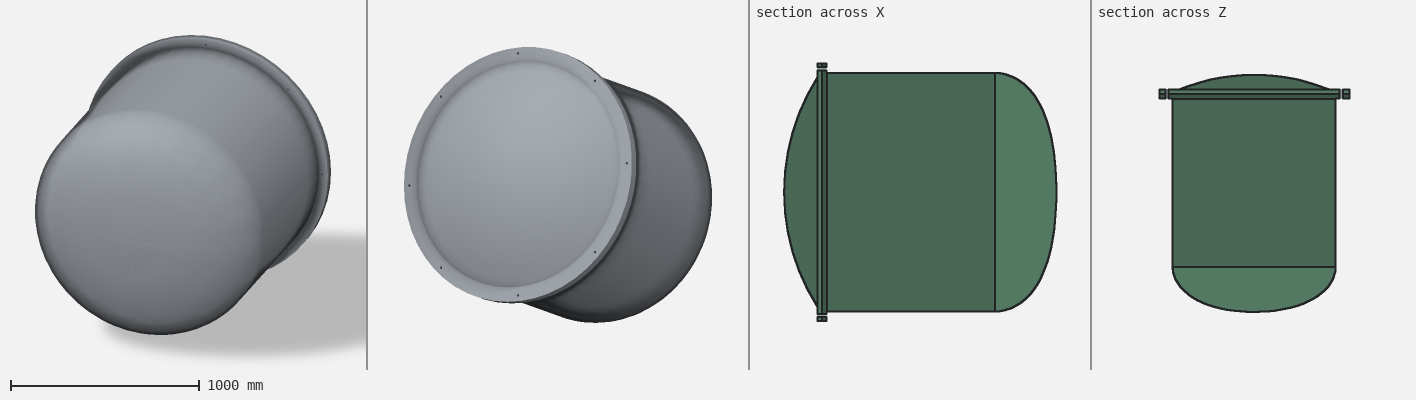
import cadquery as cq
import math


TOTAL_LENGTH = 1447.0
FLANGE_DIAMETER = 1372.0
SHELL_DIAMETER = 1271.0

FLANGE_PAIR_THICKNESS = 50.0
FLANGE_THICKNESS = FLANGE_PAIR_THICKNESS / 2
BOLT_COUNT = 8
BOLT_CIRCLE_DIAMETER = 1308.0
BOLT_HOLE_DIAMETER = 15.0

COVER_HEIGHT = 177.0
COVER_SPHERE_RADIUS = 1135.0

SHELL_LENGTH = 892.0
SHELL_RADIUS = SHELL_DIAMETER / 2
HEAD_DEPTH = TOTAL_LENGTH - COVER_HEIGHT - FLANGE_PAIR_THICKNESS - SHELL_LENGTH

SHOULDER_HANDLE = 67.0
TIP_HANDLE = 599.0

SHELL_BACK_Y = -FLANGE_THICKNESS
SHELL_FRONT_Y = SHELL_BACK_Y - SHELL_LENGTH
HEAD_TIP_Y = SHELL_FRONT_Y - HEAD_DEPTH
COVER_BASE_Y = FLANGE_THICKNESS
COVER_TIP_Y = COVER_BASE_Y + COVER_HEIGHT


def make_disc(diameter, start_y, thickness):
    """Solid disc on the Y axis, from start_y towards +Y."""
    plane = cq.Workplane("XZ", origin=(0, start_y, 0))
    return plane.circle(diameter / 2).extrude(-thickness)


def revolve_about_y(profile):
    """Full turn of a half profile drawn in the XY plane."""
    return profile.close().revolve(360, (0, 0, 0), (0, 1, 0))


def make_flange(start_y):
    """Round flange with a circle of through holes, the first one on the X axis."""
    holes = (
        cq.Workplane("XZ", origin=(0, start_y, 0))
        .polarArray(BOLT_CIRCLE_DIAMETER / 2, 0, 360, BOLT_COUNT)
        .circle(BOLT_HOLE_DIAMETER / 2)
        .extrude(-FLANGE_THICKNESS)
    )
    return make_disc(FLANGE_DIAMETER, start_y, FLANGE_THICKNESS).cut(holes)


def make_cover():
    """Spherical cap standing on the outer face of the cover flange."""
    center_y = COVER_TIP_Y - COVER_SPHERE_RADIUS
    base_radius = math.sqrt(COVER_SPHERE_RADIUS**2 - (COVER_BASE_Y - center_y) ** 2)
    half_angle = math.asin(base_radius / COVER_SPHERE_RADIUS) / 2
    arc_middle = (
        COVER_SPHERE_RADIUS * math.sin(half_angle),
        center_y + COVER_SPHERE_RADIUS * math.cos(half_angle),
    )
    profile = (
        cq.Workplane("XY")
        .moveTo(0, COVER_BASE_Y)
        .lineTo(base_radius, COVER_BASE_Y)
        .threePointArc(arc_middle, (0, COVER_TIP_Y))
    )
    return revolve_about_y(profile)


def make_head():
    """Dished head: one smooth curve, tangent to the shell wall and square to the axis at the tip."""
    shoulder = (SHELL_RADIUS, SHELL_FRONT_Y)
    shoulder_handle = (SHELL_RADIUS, SHELL_FRONT_Y - SHOULDER_HANDLE)
    tip_handle = (TIP_HANDLE, HEAD_TIP_Y)
    tip = (0, HEAD_TIP_Y)
    profile = (
        cq.Workplane("XY")
        .moveTo(0, SHELL_FRONT_Y)
        .lineTo(*shoulder)
        .bezier([shoulder, shoulder_handle, tip_handle, tip])
    )
    return revolve_about_y(profile)


head = make_head()
shell = make_disc(SHELL_DIAMETER, SHELL_FRONT_Y, SHELL_LENGTH)
flanges = [make_flange(start_y) for start_y in (SHELL_BACK_Y, 0)]
cover = make_cover()

result = cq.Compound.makeCompound(
    [head.val(), shell.val(), *[flange.val() for flange in flanges], cover.val()]
)